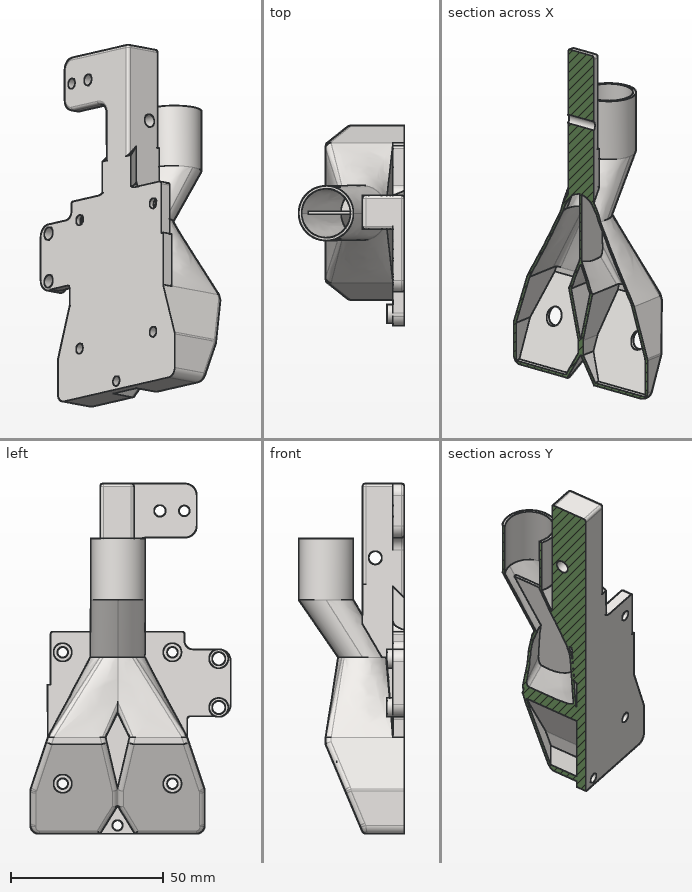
import cadquery as cq
import math


TUBE_DIAMETER = 18.0
TUBE_WALL = 1.0
TUBE_X = -25.7
TUBE_Y = -0.15
TUBE_BOTTOM = 76.8
TUBE_TOP = 97.0
NECK_X = -13.8
NECK_BOTTOM = 58.0
NECK_DEPTH = 16.0

DIVIDER_THICKNESS = 1.0
DIVIDER_TOP = 73.7

DUCT_WALL = 1.2
DUCT_EDGE_RADIUS = 1.8
DUCT_SHOULDER_RADIUS = 2.0
BACK_CORNER_ANGLE = 15
OUTER_CORNER_ANGLES = (32, 41)
INNER_CORNER_ANGLES = (45, 73)
KNEE_INNER_RADIUS = 1.2
KNEE_Z = 31.7
KNEE_LAND = 2.3
KNEE_FRONT = -25.9
KNEE_INNER_Y = 3.9
KNEE_OUTER_Y = 22.9
DUCT_BOTTOM_FRONT = -13.5
DUCT_OUTER_Y = 28.65
DUCT_SHOULDER_Z = 14.5
DUCT_CONTACT_TOP = 15.0
DUCT_CONTACT_BOTTOM = 9.3
DUCT_BOTTOM_INNER_Y = 5.7
DUCT_CORNER_RADIUS = 2.9

PLATE_THICKNESS = 3.75
PLATE_TOP = 66.4
PLATE_HALF_WIDTH = 22.0
PLATE_WIDE_Y = 23.0
PLATE_STEP_Z = 49.0
PLATE_CORNER_RADIUS = 0.8
SCREW_Y = 18.0
SCREW_UPPER_Z = 59.6
SCREW_LOWER_Z = 16.5
SCREW_DIAMETER = 3.4
SCREW_HEAD_DIAMETER = 6.0
SCREW_HEAD_DEPTH = 2.0
BOTTOM_HOLE_Z = 2.8
BOTTOM_HOLE_DIAMETER = 3.3

ARM_END_Y = -37.15
ARM_BOTTOM = 38.6
ARM_TOP = 60.6
ARM_CORNER_RADIUS = 3.9
ARM_UPPER_ROOT_RADIUS = 2.7
ARM_LOWER_ROOT_RADIUS = 1.0
BOSS_Y = -33.2
BOSS_HEIGHTS = (41.5, 57.5)
BOSS_DIAMETER = 6.25
BOSS_HOLE_DIAMETER = 4.25
BOSS_HEIGHT = 2.0

BAR_FRONT = -13.75
BAR_SIDES = (-5.4, 5.7)
BAR_TOP = 115.0
BAR_EDGE_RADIUS = 1.0
BAR_ROUNDED_FROM = 82.0
BAR_HOLE_X = -9.55
BAR_HOLE_Z = 90.6
BAR_HOLE_DIAMETER = 4.25
BAR_ROOT_RADIUS = 3.4
FLAG_BOTTOM = 97.2
FLAG_END_Y = -26.0
FLAG_RADIUS = 3.9
FLAG_HOLE_Z = 106.0
FLAG_HOLES = ((-13.9, 3.7), (-21.9, 3.4))
FOOT_FLARE = 1.5
FOOT_TOP = 81.2
WEB_BOTTOM = 44.0

OVERLAP = 1.0


def box(x_range, y_range, z_range):
    size = [high - low for low, high in (x_range, y_range, z_range)]
    corner = (x_range[0], y_range[0], z_range[0])
    return cq.Workplane("XY").box(*size, centered=False).translate(corner)


def pin_x(diameter, y, z, x_start, x_end):
    """Cylinder along X between two X positions."""
    return (
        cq.Workplane("YZ", origin=(x_start, 0, 0))
        .center(y, z)
        .circle(diameter / 2)
        .extrude(x_end - x_start)
    )


def mirrored_pair(body):
    return body.union(body.mirror("XZ"))


def loft(lower, upper):
    return cq.Workplane(obj=cq.Solid.makeLoft([lower, upper], True))


def ellipse_wire(x, y, z, x_radius, y_radius, break_angles):
    """Ellipse around (x, y, z) broken into arcs at the given angles."""
    ends = break_angles[1:] + [break_angles[0] + 360]
    y_is_major = y_radius > x_radius
    major, minor = max(x_radius, y_radius), min(x_radius, y_radius)
    turn = 90 if y_is_major else 0
    x_dir = cq.Vector(0, 1, 0) if y_is_major else cq.Vector(1, 0, 0)
    arcs = [
        cq.Edge.makeEllipse(
            major, minor, cq.Vector(x, y, z), cq.Vector(0, 0, 1), x_dir, start - turn, end - turn
        )
        for start, end in zip(break_angles, ends)
    ]
    return cq.Wire.assembleEdges(arcs)


def knee_wire(inset):
    """Duct section at the knee: a rectangle with rounded front corners."""
    back = -PLATE_THICKNESS - inset
    front = KNEE_FRONT + inset
    inner = KNEE_INNER_Y + inset
    outer = KNEE_OUTER_Y - inset
    outer_r = DUCT_EDGE_RADIUS
    inner_r = KNEE_INNER_RADIUS
    bulge = 1 - math.sqrt(0.5)
    outer_mid = (front + outer_r * bulge, outer - outer_r * bulge)
    inner_mid = (front + inner_r * bulge, inner + inner_r * bulge)
    return (
        cq.Workplane("XY", origin=(0, 0, KNEE_Z))
        .moveTo(back, outer)
        .lineTo(front + outer_r, outer)
        .threePointArc(outer_mid, (front, outer - outer_r))
        .lineTo(front, inner + inner_r)
        .threePointArc(inner_mid, (front + inner_r, inner))
        .lineTo(back, inner)
        .close()
        .wire()
        .val()
    )


def neck(inset):
    """Slanted passage from the round tube to the ellipse above the ducts."""
    quarters = [0, 90, 180, 270]
    tube_radius = TUBE_DIAMETER / 2 - inset
    lower = ellipse_wire(NECK_X, 0, NECK_BOTTOM, NECK_DEPTH / 2 - inset, tube_radius, quarters)
    upper = ellipse_wire(TUBE_X, TUBE_Y, TUBE_BOTTOM, tube_radius, tube_radius, quarters)
    return loft(lower, upper)


def tube(inset):
    return (
        cq.Workplane("XY", origin=(TUBE_X, TUBE_Y, TUBE_BOTTOM))
        .circle(TUBE_DIAMETER / 2 - inset)
        .extrude(TUBE_TOP - TUBE_BOTTOM)
    )


def upper_duct(neck_inset, knee_inset):
    """Loft from the foot of the neck to one duct at the knee."""
    breaks = [
        BACK_CORNER_ANGLE,
        180 - OUTER_CORNER_ANGLES[1],
        180 - OUTER_CORNER_ANGLES[0],
        180 + INNER_CORNER_ANGLES[0],
        180 + INNER_CORNER_ANGLES[1],
        360 - BACK_CORNER_ANGLE,
    ]
    y_radius = TUBE_DIAMETER / 2 - neck_inset
    ellipse = ellipse_wire(NECK_X, 0, NECK_BOTTOM, NECK_DEPTH / 2 - neck_inset, y_radius, breaks)
    return loft(knee_wire(knee_inset), ellipse)


def lower_duct_outline():
    """Duct outline seen along X, with its sides carried on above the knee."""
    rise = KNEE_Z - DUCT_SHOULDER_Z
    outer_lean = (DUCT_OUTER_Y - KNEE_OUTER_Y) / rise
    inner_lean = KNEE_INNER_Y / (KNEE_Z - DUCT_CONTACT_TOP)
    extra = 2 * DUCT_WALL
    return cq.Workplane("YZ").polyline([
        (DUCT_BOTTOM_INNER_Y, 0),
        (DUCT_OUTER_Y, 0),
        (DUCT_OUTER_Y, DUCT_SHOULDER_Z),
        (KNEE_OUTER_Y - outer_lean * extra, KNEE_Z + extra),
        (KNEE_INNER_Y + inner_lean * extra, KNEE_Z + extra),
        (0, DUCT_CONTACT_TOP),
        (0, DUCT_CONTACT_BOTTOM),
    ]).close()


def lower_duct_side(back, inset):
    """Space between the back and the sloping front of the lower duct."""
    land_bottom = KNEE_Z - KNEE_LAND
    slope = math.atan2(DUCT_BOTTOM_FRONT - KNEE_FRONT, land_bottom)
    slope_shift = inset / math.cos(slope)
    land_drop = (slope_shift - inset) / math.tan(slope)
    return (
        cq.Workplane("XZ", origin=(0, DUCT_OUTER_Y + OVERLAP, 0))
        .polyline([
            (back, 0),
            (DUCT_BOTTOM_FRONT + slope_shift, 0),
            (KNEE_FRONT + inset, land_bottom + land_drop),
            (KNEE_FRONT + inset, KNEE_Z),
            (back, KNEE_Z),
        ])
        .close()
        .extrude(DUCT_OUTER_Y + 2 * OVERLAP)
    )


def lower_duct():
    prism = lower_duct_outline().extrude(KNEE_FRONT - OVERLAP)
    prism = prism.edges("|X").edges("<Z").edges(">Y").fillet(DUCT_CORNER_RADIUS)
    shoulder = cq.selectors.NearestToPointSelector((KNEE_FRONT / 2, DUCT_OUTER_Y, DUCT_SHOULDER_Z))
    prism = prism.edges(shoulder).fillet(DUCT_SHOULDER_RADIUS)
    duct = prism.intersect(lower_duct_side(0, 0))
    land_sides = duct.faces("<X").edges("not |Y").vals()
    below_land = cq.selectors.BoxSelector(
        (KNEE_FRONT, 0, 0), (DUCT_BOTTOM_FRONT, DUCT_OUTER_Y, KNEE_Z - KNEE_LAND)
    )
    slope_rim = duct.faces(below_land).faces("<X").edges("not(>Z)").vals()
    return duct.newObject(land_sides + slope_rim).fillet(DUCT_EDGE_RADIUS)


def lower_cavity():
    prism = lower_duct_outline().offset2D(-DUCT_WALL, "intersection").extrude(KNEE_FRONT - OVERLAP)
    return prism.intersect(lower_duct_side(-PLATE_THICKNESS, DUCT_WALL))


def plate():
    slab = (
        cq.Workplane("YZ")
        .polyline([
            (-KNEE_OUTER_Y, 0),
            (KNEE_OUTER_Y, 0),
            (PLATE_WIDE_Y, PLATE_STEP_Z),
            (PLATE_HALF_WIDTH, PLATE_STEP_Z),
            (PLATE_HALF_WIDTH, PLATE_TOP),
            (-PLATE_HALF_WIDTH, PLATE_TOP),
            (-PLATE_HALF_WIDTH, ARM_TOP),
            (ARM_END_Y, ARM_TOP),
            (ARM_END_Y, ARM_BOTTOM),
            (-KNEE_OUTER_Y, ARM_BOTTOM),
        ])
        .close()
        .extrude(-PLATE_THICKNESS)
    )
    slab = slab.edges("|X").edges("<Y").fillet(ARM_CORNER_RADIUS)
    slab = slab.edges("|X").edges(">Z").fillet(PLATE_CORNER_RADIUS)

    def corner(y, z):
        return cq.selectors.NearestToPointSelector((-PLATE_THICKNESS / 2, y, z))

    slab = slab.edges(corner(-PLATE_HALF_WIDTH, ARM_TOP)).fillet(ARM_UPPER_ROOT_RADIUS)
    slab = slab.edges(corner(-KNEE_OUTER_Y, ARM_BOTTOM)).fillet(ARM_LOWER_ROOT_RADIUS)
    boss_front = -PLATE_THICKNESS - BOSS_HEIGHT
    for z in BOSS_HEIGHTS:
        slab = slab.union(pin_x(BOSS_DIAMETER, BOSS_Y, z, boss_front, 0))
    return slab


def concave_root(y, z, y_side, z_side, radius):
    """Fillet web in the corner at (y, z), on the sides given by the signs."""
    block = (
        cq.Workplane("YZ")
        .rect(y_side * radius, z_side * radius, centered=False)
        .extrude(-PLATE_THICKNESS)
        .translate((0, y, z))
    )
    round_y = y + y_side * radius
    round_z = z + z_side * radius
    return block.cut(pin_x(2 * radius, round_y, round_z, -PLATE_THICKNESS, 0))


def bar():
    right, left = BAR_SIDES
    low = box((BAR_FRONT, 0), BAR_SIDES, (NECK_BOTTOM, BAR_ROUNDED_FROM))
    high = box((BAR_FRONT, 0), BAR_SIDES, (BAR_ROUNDED_FROM, BAR_TOP))
    high = high.edges("(<X and |Z) or (>Z and (not >X))").fillet(BAR_EDGE_RADIUS)
    flag = box((-PLATE_THICKNESS, 0), (FLAG_END_Y, left - BAR_EDGE_RADIUS), (FLAG_BOTTOM, BAR_TOP))
    flag = flag.edges("|X and <Y").fillet(FLAG_RADIUS)
    body = low.union(high).union(flag)
    body = body.union(concave_root(right, FLAG_BOTTOM, -1, -1, FLAG_RADIUS))
    return body.faces(">X").edges("not <Z").fillet(BAR_EDGE_RADIUS)


def back_web():
    """Wedge below the bar that fills the gap between the ducts' back and the plate."""
    right, left = BAR_SIDES
    neck_back = NECK_X + NECK_DEPTH / 2
    lean = (neck_back + PLATE_THICKNESS) / (NECK_BOTTOM - KNEE_Z)
    bottom_front = neck_back - lean * (NECK_BOTTOM - WEB_BOTTOM)
    return (
        cq.Workplane("XZ", origin=(0, left, 0))
        .polyline([
            (0, WEB_BOTTOM),
            (bottom_front, WEB_BOTTOM),
            (neck_back, NECK_BOTTOM),
            (0, NECK_BOTTOM),
        ])
        .close()
        .extrude(left - right)
    )


def bar_foot():
    """Foot of the bar, flared towards the back, with a 45 degree top and concave roots."""
    right, left = BAR_SIDES
    flare = (
        cq.Workplane("XY", origin=(0, 0, NECK_BOTTOM))
        .polyline([
            (0, right - FOOT_FLARE),
            (0, left + FOOT_FLARE),
            (-PLATE_THICKNESS, left),
            (-PLATE_THICKNESS, right),
        ])
        .close()
        .extrude(FOOT_TOP - NECK_BOTTOM)
    )
    side = (
        cq.Workplane("XZ", origin=(0, left + FOOT_FLARE, 0))
        .polyline([
            (0, NECK_BOTTOM),
            (0, FOOT_TOP - PLATE_THICKNESS),
            (-PLATE_THICKNESS, FOOT_TOP),
            (-PLATE_THICKNESS, NECK_BOTTOM),
        ])
        .close()
        .extrude(left - right + 2 * FOOT_FLARE)
    )
    foot = flare.intersect(side)
    foot = foot.union(concave_root(right, PLATE_TOP, -1, 1, BAR_ROOT_RADIUS))
    return foot.union(concave_root(left, PLATE_TOP, 1, 1, BAR_ROOT_RADIUS))


def duct_shell():
    ducts = mirrored_pair(lower_duct().union(upper_duct(0, 0)))
    return ducts.union(neck(0)).union(tube(0))


def passage():
    """Air space inside the tube, neck and ducts, parted by the divider."""
    ducts = mirrored_pair(lower_cavity().union(upper_duct(TUBE_WALL, DUCT_WALL)))
    space = ducts.union(neck(TUBE_WALL)).union(tube(TUBE_WALL))
    half = DIVIDER_THICKNESS / 2
    divider = box((KNEE_FRONT - TUBE_DIAMETER, 0), (-half, half), (0, DIVIDER_TOP))
    return space.cut(divider)


def screw_holes():
    """Four screw holes and the bottom hole; the lower head bores pass through the duct fronts."""
    seat = SCREW_HEAD_DEPTH - PLATE_THICKNESS
    holes = pin_x(BOTTOM_HOLE_DIAMETER, 0, BOTTOM_HOLE_Z, -PLATE_THICKNESS, 0)
    for y in (-SCREW_Y, SCREW_Y):
        holes = holes.union(pin_x(SCREW_DIAMETER, y, SCREW_UPPER_Z, -PLATE_THICKNESS, 0))
        holes = holes.union(pin_x(SCREW_DIAMETER, y, SCREW_LOWER_Z, -PLATE_THICKNESS, 0))
        holes = holes.union(pin_x(SCREW_HEAD_DIAMETER, y, SCREW_UPPER_Z, -PLATE_THICKNESS, seat))
        holes = holes.union(pin_x(SCREW_HEAD_DIAMETER, y, SCREW_LOWER_Z, KNEE_FRONT, -PLATE_THICKNESS))
    return holes


def arm_and_flag_holes():
    front = -PLATE_THICKNESS - BOSS_HEIGHT
    holes = pin_x(BOSS_HOLE_DIAMETER, BOSS_Y, BOSS_HEIGHTS[0], front, 0)
    for z in BOSS_HEIGHTS[1:]:
        holes = holes.union(pin_x(BOSS_HOLE_DIAMETER, BOSS_Y, z, front, 0))
    for y, diameter in FLAG_HOLES:
        holes = holes.union(pin_x(diameter, y, FLAG_HOLE_Z, front, 0))
    return holes


def bar_hole():
    right, left = BAR_SIDES
    return (
        cq.Workplane("XZ", origin=(BAR_HOLE_X, left, BAR_HOLE_Z))
        .circle(BAR_HOLE_DIAMETER / 2)
        .extrude(left - right)
    )


body = duct_shell().union(plate()).union(bar()).union(bar_foot()).union(back_web())
body = body.cut(passage())
result = body.cut(screw_holes()).cut(arm_and_flag_holes()).cut(bar_hole())